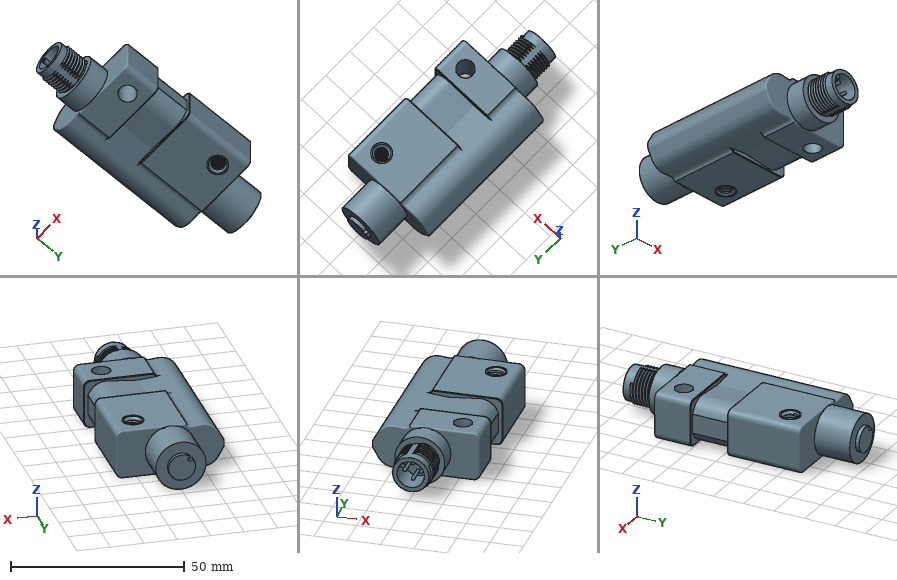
import cadquery as cq
import math


overall_length = 76.8
body_length = 48.0
body_width = 32.3
body_height = 15.0
end_radius = 0.5
corner_radius = 2.0

slim_shoulder_x = 9.15
slim_shoulder_z = 6.75
valley_z = 5.9
nose_flank_x = 14.4
nose_flank_z = 4.0
nose_tip_z = 1.0
nose_tip_radius = 1.8
slim_right_x = 15.0

pad_left_x = -4.9
pad_foot_x = -6.6
gap_top_y = 0.0
gap_length = 12.0
pad_chamfer = 0.2

hole_x = 9.4
plain_hole_y = -17.9
plain_hole_diameter = 5.5
threaded_hole_y = plain_hole_y + 34.95
insert_rim_diameter = 6.3
insert_rim_depth = 0.15
insert_mouth_diameter = 5.4
insert_minor_diameter = 3.85
insert_major_diameter = 4.9
insert_pitch = 0.8

collar_diameter = body_height
socket_collar_end_y = 35.55
socket_end_y = 36.8
socket_diameter = 8.1
plug_collar_end_y = -30.4
plug_end_y = socket_end_y - overall_length
plug_core_diameter = 10.9
plug_bore_diameter = 8.2
plug_bore_depth = 8.0

thread_diameter = 12.0
thread_pitch = 1.0
thread_length = 7.1
flat_offset = 5.4
flat_tilt = 12

root_width_ratio = 0.9
thread_overlap = 0.1

pin_count = 4
pin_diameter = 1.0
pin_circle_radius = 2.45
pin_tip_depth = 2.1
pin_tip_radius = 0.45
key_angle = 135
key_width = 1.3
key_radius = 3.45
key_recess = 0.4
key_overlap = 0.1


def cylinder_y(diameter, y_start, y_end, x=0, z=0):
    """Solid cylinder along Y between two Y positions."""
    plane = cq.Plane(origin=(x, y_start, z), xDir=(1, 0, 0), normal=(0, 1, 0))
    return cq.Workplane(plane).circle(diameter / 2).extrude(y_end - y_start)


def helical_ridge(root_radius, crest_radius, pitch, height):
    """Triangular ridge wound around Z, starting at Z = 0."""
    half_root = root_width_ratio * pitch / 2
    path = cq.Wire.makeHelix(pitch, height, root_radius)
    profile = cq.Workplane("XZ").polyline(
        [(root_radius, -half_root), (crest_radius, 0), (root_radius, half_root)]
    ).close()
    return profile.sweep(cq.Workplane(obj=path), isFrenet=True)


def half_outline_solid(half_outline, y_start, y_end):
    """Extrude an upper-half XZ outline and mirror it below Z = 0."""
    upper = half_outline.close().extrude(y_start - y_end).translate((0, y_start, 0))
    return upper.union(upper.mirror("XY")).clean()


def slim_section():
    """Bar with a rounded nose at each side and a shallow valley above and below."""
    half_length = body_length / 2
    half_width = body_width / 2
    left_quarter = (
        cq.Workplane("XZ")
        .moveTo(0, 0)
        .lineTo(0, valley_z)
        .lineTo(-slim_shoulder_x, slim_shoulder_z)
        .tangentArcPoint((-nose_flank_x, nose_flank_z), relative=False)
        .lineTo(-half_width, nose_tip_z)
        .lineTo(-half_width, 0)
    )
    left = half_outline_solid(left_quarter, -half_length, half_length)
    left = left.edges("|Y and <X").fillet(nose_tip_radius)
    right_limit = cq.Workplane().box(2 * slim_right_x, body_length, body_height)
    right = left.mirror("YZ").intersect(right_limit)
    return left.union(right)


def pad(y_start, y_end, gap_face):
    """Mounting pad with a concave foot at its left, rising out of the valley slope."""
    top = body_height / 2
    right = body_width / 2
    slope = (slim_shoulder_z - valley_z) / slim_shoulder_x
    foot_z = valley_z - slope * pad_foot_x
    outline = (
        cq.Workplane("XZ")
        .moveTo(-slim_shoulder_x, 0)
        .lineTo(-slim_shoulder_x, slim_shoulder_z)
        .lineTo(pad_foot_x, foot_z)
        .tangentArcPoint((pad_left_x, top), relative=False)
        .lineTo(right, top)
        .lineTo(right, 0)
    )
    block = half_outline_solid(outline, y_start, y_end)
    block = block.edges("|Y and >X").fillet(corner_radius)
    return block.faces(gap_face).chamfer(pad_chamfer)


def body():
    half_length = body_length / 2
    solid = slim_section()
    solid = solid.union(pad(gap_top_y, half_length, "<Y"))
    solid = solid.union(pad(-half_length, gap_top_y - gap_length, ">Y"))
    return solid.faces("<Y or >Y").edges().fillet(end_radius)


def hole_z(diameter, y, depth=body_height):
    """Cutter along Z at the mounting hole line, going down from the top."""
    top = cq.Workplane("XY", origin=(hole_x, y, body_height / 2))
    return top.circle(diameter / 2).extrude(-depth)


def insert_thread():
    """Cutter for the threaded bore: minor diameter plus a helical groove."""
    root_radius = insert_minor_diameter / 2 - thread_overlap
    start_z = insert_pitch - body_height / 2
    groove = helical_ridge(root_radius, insert_major_diameter / 2, insert_pitch, -2 * start_z)
    groove = groove.translate((hole_x, threaded_hole_y, start_z))
    return hole_z(insert_minor_diameter, threaded_hole_y).union(groove)


def insert_mouths():
    """Cutters for the shallow rim and countersink at the top and bottom of the thread."""
    countersink_depth = (insert_mouth_diameter - insert_minor_diameter) / 2
    plane = cq.Plane(origin=(hole_x, threaded_hole_y, body_height / 2), xDir=(1, 0, 0), normal=(0, -1, 0))
    top = (
        cq.Workplane(plane)
        .polyline([
            (0, 0),
            (insert_rim_diameter / 2, 0),
            (insert_rim_diameter / 2, -insert_rim_depth),
            (insert_mouth_diameter / 2, -insert_rim_depth),
            (insert_minor_diameter / 2, -insert_rim_depth - countersink_depth),
            (0, -insert_rim_depth - countersink_depth),
        ])
        .close()
        .revolve(360, (0, 0), (0, 1))
    )
    return top.union(top.mirror("XY"))


def key_prism(y_start, y_end):
    """Round-nosed key reaching outward to the bore wall at the key angle."""
    wall_radius = plug_bore_diameter / 2 + key_width / 2
    middle = (key_radius + wall_radius) / 2
    plane = cq.Plane(origin=(0, y_end, 0), xDir=(1, 0, 0), normal=(0, -1, 0))
    return (
        cq.Workplane(plane)
        .transformed(rotate=(0, 0, key_angle))
        .center(middle, 0)
        .slot2D(wall_radius - key_radius + key_width, key_width)
        .extrude(y_end - y_start)
    )


def socket_end():
    """Plain collar with a low round insert that carries a keyway."""
    collar = cylinder_y(collar_diameter, body_length / 2, socket_collar_end_y)
    insert = cylinder_y(socket_diameter, body_length / 2, socket_end_y)
    return collar.union(insert.cut(key_prism(socket_collar_end_y, socket_end_y)))


def plug_shell():
    """Threaded tube with two flats across the thread and the core."""
    core_radius = plug_core_diameter / 2
    core = cylinder_y(plug_core_diameter, plug_end_y, -body_length / 2)
    ridge = helical_ridge(core_radius - thread_overlap, thread_diameter / 2, thread_pitch, thread_length)
    ridge = ridge.rotate((0, 0, 0), (1, 0, 0), 90).translate((0, plug_collar_end_y, 0))
    shell = core.union(ridge)
    flats = cq.Workplane().box(2 * thread_diameter, 2 * overall_length, 2 * flat_offset)
    return shell.intersect(flats.rotate((0, 0, 0), (0, 1, 0), -flat_tilt))


def plug_contacts():
    """Pins and polarising key standing on the floor of the plug bore."""
    floor_y = plug_end_y + plug_bore_depth
    parts = key_prism(plug_end_y + key_recess, floor_y)
    parts = parts.intersect(cylinder_y(plug_bore_diameter + key_overlap, plug_end_y, floor_y))
    for index in range(pin_count):
        angle = math.radians(360 / pin_count * index)
        x = pin_circle_radius * math.cos(angle)
        z = pin_circle_radius * math.sin(angle)
        pin = cylinder_y(pin_diameter, plug_end_y + pin_tip_depth, floor_y, x, z)
        parts = parts.union(pin.faces("<Y").edges().fillet(pin_tip_radius))
    return parts


def plug_end():
    """Collar and threaded, hollow plug with its contacts."""
    collar = cylinder_y(collar_diameter, plug_collar_end_y, -body_length / 2)
    bore = cylinder_y(plug_bore_diameter, plug_end_y, plug_end_y + plug_bore_depth)
    return plug_shell().union(collar).cut(bore).union(plug_contacts())


result = (
    body()
    .cut(insert_thread())
    .cut(insert_mouths())
    .cut(hole_z(plain_hole_diameter, plain_hole_y))
    .union(socket_end())
    .union(plug_end())
)